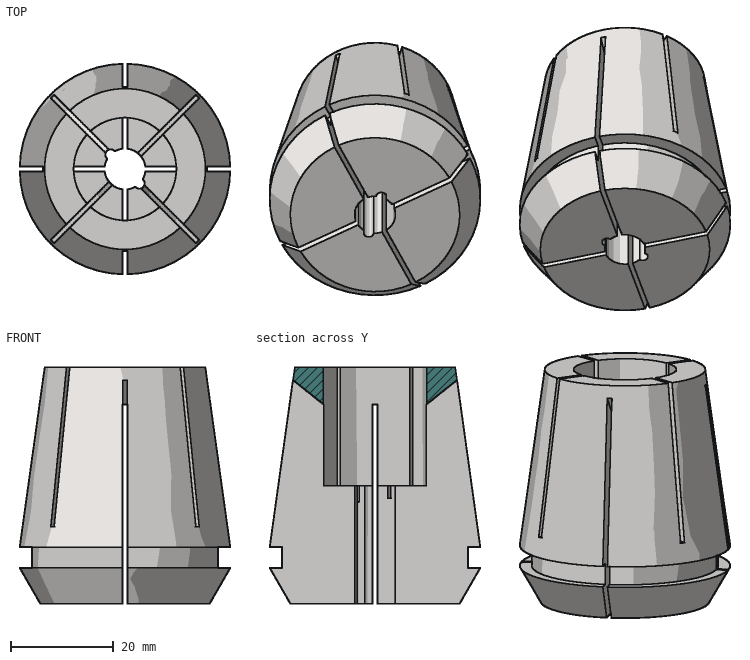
import cadquery as cq
import math

height = 46.0
max_radius = 20.495
bottom_radius = 16.45
top_radius = 15.65

groove_bottom = 7.0
groove_top = 11.05
groove_radius = 18.12

bore_radius = 10.0
bore_floor = 23.0
hole_radius = 3.95
keyway_radius = 1.0
keyway_angles = (135, 315)

slit_width = 0.9
lower_slit_top_outside = 43.5
lower_slit_top_in_bore = 38.75
upper_slit_floor_outside = 14.95
upper_slit_floor_at_hole = 20.55

margin = 2.3
outside = max_radius + margin


def cone_radius(z):
    """Radius of the long clamping cone at height z."""
    share = (z - groove_top) / (height - groove_top)
    return max_radius + share * (top_radius - max_radius)


def make_body():
    """Turned outer shape: clamping cone, groove and nut cone."""
    return (
        cq.Workplane("XZ")
        .moveTo(0, 0)
        .lineTo(bottom_radius, 0)
        .lineTo(max_radius, groove_bottom)
        .lineTo(groove_radius, groove_bottom)
        .lineTo(groove_radius, groove_top)
        .lineTo(max_radius, groove_top)
        .lineTo(top_radius, height)
        .lineTo(0, height)
        .close()
        .revolve(360, (0, 0, 0), (0, 1, 0))
    )


def make_bore():
    """Wide upper bore, small through hole and its keyways."""
    bore = cq.Workplane("XY").workplane(offset=bore_floor).circle(bore_radius).extrude(height - bore_floor)
    bore = bore.union(cq.Workplane("XY").circle(hole_radius).extrude(height))
    for angle in keyway_angles:
        x = hole_radius * math.cos(math.radians(angle))
        y = hole_radius * math.sin(math.radians(angle))
        bore = bore.union(cq.Workplane("XY").center(x, y).circle(keyway_radius).extrude(height))
    return bore


def make_lower_slit():
    """Slit open at the bottom, with an end that slopes down towards the bore."""
    slit_top_radius = cone_radius(lower_slit_top_outside)
    slope = (lower_slit_top_outside - lower_slit_top_in_bore) / (slit_top_radius - bore_radius)
    outside_top = lower_slit_top_outside + slope * (outside - slit_top_radius)
    return (
        cq.Workplane("XZ")
        .moveTo(0, -margin)
        .lineTo(outside, -margin)
        .lineTo(outside, outside_top)
        .lineTo(bore_radius, lower_slit_top_in_bore)
        .lineTo(0, lower_slit_top_in_bore)
        .close()
        .extrude(slit_width / 2, both=True)
    )


def make_upper_slit():
    """Slit open at the top, with a round floor that is level at the outside and rises inwards."""
    floor_end = cone_radius(upper_slit_floor_outside)
    run = floor_end - hole_radius
    rise = upper_slit_floor_at_hole - upper_slit_floor_outside
    floor_arc_radius = (run**2 + rise**2) / (2 * rise)
    half_angle = math.atan2(rise, run)
    arc_middle = (
        floor_end - floor_arc_radius * math.sin(half_angle),
        upper_slit_floor_outside + floor_arc_radius * (1 - math.cos(half_angle)),
    )
    return (
        cq.Workplane("XZ")
        .moveTo(0, height + margin)
        .lineTo(outside, height + margin)
        .lineTo(outside, upper_slit_floor_outside)
        .lineTo(floor_end, upper_slit_floor_outside)
        .threePointArc(arc_middle, (hole_radius, upper_slit_floor_at_hole))
        .lineTo(0, upper_slit_floor_at_hole)
        .close()
        .extrude(slit_width / 2, both=True)
    )


result = make_body().cut(make_bore())

lower_slit = make_lower_slit()
upper_slit = make_upper_slit()
for angle in (0, 90, 180, 270):
    result = result.cut(lower_slit.rotate((0, 0, 0), (0, 0, 1), angle))
    result = result.cut(upper_slit.rotate((0, 0, 0), (0, 0, 1), angle + 45))